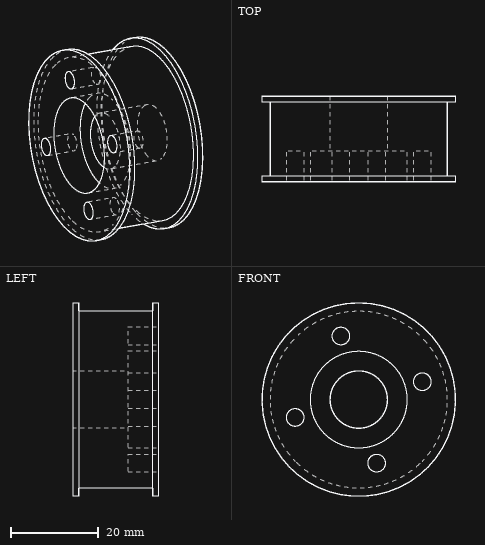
import cadquery as cq
import math

flange_diameter = 44.0
width = 19.5
flange_thickness = 1.35
drum_diameter = 40.25

bore_diameter = 13.0
recess_diameter = 22.0
recess_depth = 7.0

pin_hole_count = 4
pin_hole_diameter = 4.0
pin_hole_depth = recess_depth
pin_hole_circle_radius = 15.0
first_pin_hole_angle = 15.7

front_y = -width / 2


def cylinder_along_y(diameter, length, start_y, x=0.0, z=0.0):
    """Solid cylinder running from start_y toward +Y."""
    return cq.Workplane(
        cq.Solid.makeCylinder(diameter / 2, length, cq.Vector(x, start_y, z), cq.Vector(0, 1, 0))
    )


def make_spool():
    """Drum with a thin flange at each end."""
    drum = cylinder_along_y(drum_diameter, width, front_y)
    front_flange = cylinder_along_y(flange_diameter, flange_thickness, front_y)
    back_flange = cylinder_along_y(flange_diameter, flange_thickness, width / 2 - flange_thickness)
    return drum.union(front_flange).union(back_flange)


def cut_center(body):
    """Through bore with the wider recess in front of it."""
    bore = cylinder_along_y(bore_diameter, width, front_y)
    recess = cylinder_along_y(recess_diameter, recess_depth, front_y)
    return body.cut(bore).cut(recess)


def cut_pin_holes(body):
    """Evenly spaced blind holes in the front face."""
    for index in range(pin_hole_count):
        angle = math.radians(first_pin_hole_angle + index * 360 / pin_hole_count)
        x = pin_hole_circle_radius * math.cos(angle)
        z = pin_hole_circle_radius * math.sin(angle)
        body = body.cut(cylinder_along_y(pin_hole_diameter, pin_hole_depth, front_y, x, z))
    return body


result = cut_pin_holes(cut_center(make_spool()))